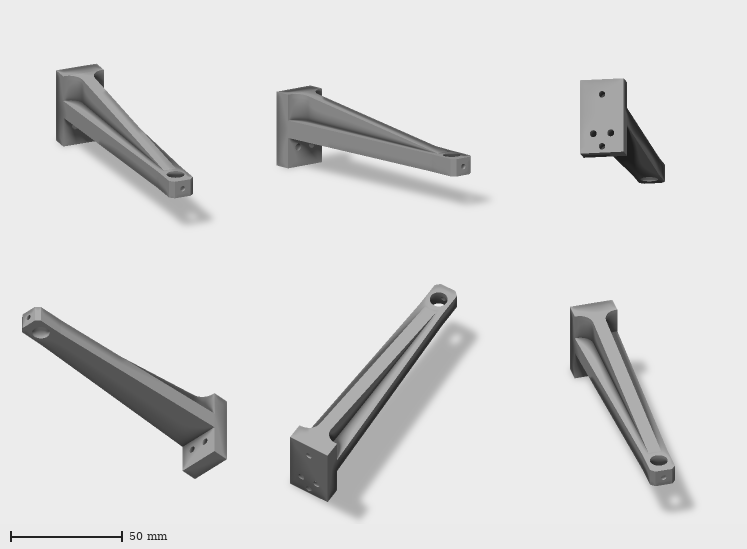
import cadquery as cq
import math

length = 118.0
plate_width = 20.0
plate_height = 34.0
plate_thickness = 8.0

arm_bottom = 14.0
arm_height = 8.0
arm_top = arm_bottom + arm_height
taper_end = 103.4
tip_width = 11.8
tip_chamfer = 2.0
taper_blend_radius = 12.0

rib_width = 6.0
rib_root_radius = 6.0
rib_end = 103.6
rib_nose_length = 0.8
rib_nose_height = 0.2

bore_diameter = 8.0
bore_x = length - 8.0
cross_hole_diameter = 2.5
through_hole_diameter = 3.2
through_hole_spacing = 8.0
through_hole_z = 9.0
blind_hole_diameter = 3.0
blind_hole_depth = 6.0
blind_hole_tip_length = 0.8
blind_hole_heights = (3.0, plate_height - 7.0)


def make_plate():
    return cq.Workplane("XY").box(
        plate_thickness, plate_width, plate_height, centered=(False, True, False)
    )


def make_arm():
    """Arm with tapered sides that blend through small arcs into a parallel, chamfered tip."""
    root_half = plate_width / 2
    tip_half = tip_width / 2
    taper_angle = math.atan2(root_half - tip_half, taper_end - plate_thickness)
    blend_length = taper_blend_radius * math.tan(taper_angle / 2)
    blend_start_x = taper_end - blend_length * math.cos(taper_angle)
    blend_start_half = tip_half + blend_length * math.sin(taper_angle)
    blend_end_x = taper_end + blend_length
    arm = (
        cq.Workplane("XY", origin=(0, 0, arm_bottom))
        .moveTo(plate_thickness, -root_half)
        .lineTo(blend_start_x, -blend_start_half)
        .radiusArc((blend_end_x, -tip_half), taper_blend_radius)
        .lineTo(length, -tip_half)
        .lineTo(length, tip_half)
        .lineTo(blend_end_x, tip_half)
        .radiusArc((blend_start_x, blend_start_half), taper_blend_radius)
        .lineTo(plate_thickness, root_half)
        .close()
        .extrude(arm_height)
    )
    return arm.edges("|Z and >X").chamfer(tip_chamfer)


def make_rib():
    """Sloping rib whose sides flare into the plate with concave arcs."""
    half = rib_width / 2
    root_half = half + rib_root_radius
    flare_end = plate_thickness + rib_root_radius
    footprint = (
        cq.Workplane("XY", origin=(0, 0, arm_top))
        .moveTo(plate_thickness, -root_half)
        .radiusArc((flare_end, -half), rib_root_radius)
        .lineTo(rib_end, -half)
        .lineTo(rib_end, half)
        .lineTo(flare_end, half)
        .radiusArc((plate_thickness, root_half), rib_root_radius)
        .close()
        .extrude(plate_height - arm_top)
    )
    side_profile = (
        cq.Workplane("XZ")
        .moveTo(plate_thickness, arm_top)
        .lineTo(rib_end, arm_top)
        .lineTo(rib_end - rib_nose_length, arm_top + rib_nose_height)
        .lineTo(plate_thickness, plate_height)
        .close()
        .extrude(plate_width / 2, both=True)
    )
    return footprint.intersect(side_profile)


def plate_hole(y, z):
    """Through hole along X in the plate."""
    return (
        cq.Workplane("YZ")
        .center(y, z)
        .circle(through_hole_diameter / 2)
        .extrude(plate_thickness)
    )


def blind_hole(z):
    """Drilled hole along X with a conical bottom."""
    return (
        cq.Workplane("XY")
        .lineTo(0, blind_hole_diameter / 2)
        .lineTo(blind_hole_depth, blind_hole_diameter / 2)
        .lineTo(blind_hole_depth + blind_hole_tip_length, 0)
        .close()
        .revolve(360, (0, 0, 0), (1, 0, 0))
        .translate((0, 0, z))
    )


def tip_bore():
    return (
        cq.Workplane("XY", origin=(bore_x, 0, arm_bottom))
        .circle(bore_diameter / 2)
        .extrude(arm_height)
    )


def tip_cross_hole():
    """Hole from the end face of the arm into the bore."""
    return (
        cq.Workplane("YZ", origin=(bore_x, 0, arm_bottom + arm_height / 2))
        .circle(cross_hole_diameter / 2)
        .extrude(length - bore_x)
    )


result = make_plate().union(make_arm()).union(make_rib())
result = result.cut(tip_bore()).cut(tip_cross_hole())
for side in (-1, 1):
    result = result.cut(plate_hole(side * through_hole_spacing / 2, through_hole_z))
for height in blind_hole_heights:
    result = result.cut(blind_hole(height))